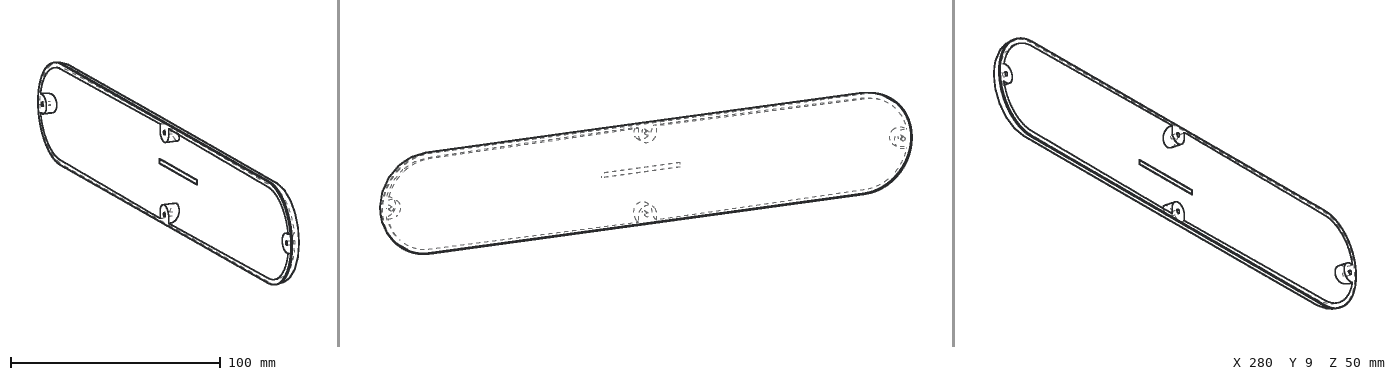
import cadquery as cq
import math

length = 280.0
height = 9.0
width = 50.0
open_y = -height / 2

lip_height = 0.8
lip_step = 0.3
outer_bow = 0.15
wall = 1.7
rim_at_ends = 2.5
rim_at_middle = 1.7

long_power = 6
long_rise_power = 4.4
cross_power = 2.5
cross_rise_power = 3.2
top_rise = 0.99
dome_rings = 9

boss_radius = 4.8
boss_inset = 4.8
hole_diameter = 2.0
hole_depth = 4.0

groove_length = 41.5
groove_width = 2.2
groove_depth = 0.3


def open_face_plane():
    """Sketch plane on the open face, with local x = X, local y = Z and normal = -Y."""
    return cq.Workplane("XZ", origin=(0, open_y, 0))


def dome_ring(half_length, half_width, bow):
    """Closed outline with round ends; its sides bulge out by bow at the middle."""
    corner_x = half_length - half_width
    return (
        cq.Workplane("XZ")
        .moveTo(-corner_x, half_width)
        .threePointArc((0, half_width + bow), (corner_x, half_width))
        .threePointArc((half_length, 0), (corner_x, -half_width))
        .threePointArc((0, -half_width - bow), (-corner_x, -half_width))
        .threePointArc((-half_length, 0), (-corner_x, half_width))
        .close()
        .val()
    )


def dome(inset, bow, base_y, top_y):
    """Smooth dome; its long and cross profiles are superellipses, cut flat just below the peak."""
    rings = []
    for step in range(dome_rings):
        rise = top_rise * math.sin(math.pi / 2 * step / (dome_rings - 1))
        long_scale = (1 - rise**long_rise_power) ** (1 / long_power)
        cross_scale = (1 - rise**cross_rise_power) ** (1 / cross_power)
        ring = dome_ring(
            (length / 2 - inset) * long_scale,
            (width / 2 - inset) * cross_scale,
            bow * cross_scale,
        )
        y = base_y + (top_y - base_y) * rise / top_rise
        rings.append(ring.translate(cq.Vector(0, y, 0)))
    solid = cq.occ_impl.shapes.loft(*rings, cap=True, parametrization="uniform")
    return cq.Workplane("XY").newObject([solid])


def boss(reach, angle):
    """Boss with a round inner end, running out to the rim at distance reach."""
    center = reach - boss_inset
    column = open_face_plane().center(center, 0).circle(boss_radius).extrude(-height)
    bridge = (
        open_face_plane()
        .center(center + boss_inset / 2, 0)
        .rect(boss_inset, 2 * boss_radius)
        .extrude(-height)
    )
    return column.union(bridge).rotate((0, 0, 0), (0, 1, 0), angle)


lip = open_face_plane().slot2D(length, width).extrude(-lip_height)
outer = lip.union(dome(lip_step, outer_bow, open_y + lip_height, height / 2))

cavity = dome(rim_at_ends, rim_at_ends - rim_at_middle, open_y, height / 2 - wall)
for side_angle in (0, 90, 180, 270):
    boss_reach = length / 2 if side_angle in (0, 180) else width / 2
    cavity = cavity.cut(boss(boss_reach, side_angle))
shell = outer.cut(cavity)

hole_x = length / 2 - boss_inset
hole_z = width / 2 - boss_inset
holes = (
    open_face_plane()
    .pushPoints([(hole_x, 0), (-hole_x, 0), (0, hole_z), (0, -hole_z)])
    .circle(hole_diameter / 2)
    .extrude(-hole_depth)
)

groove = (
    open_face_plane()
    .rect(groove_length, groove_width)
    .extrude(-(height - wall + groove_depth))
)

result = shell.cut(holes).cut(groove)